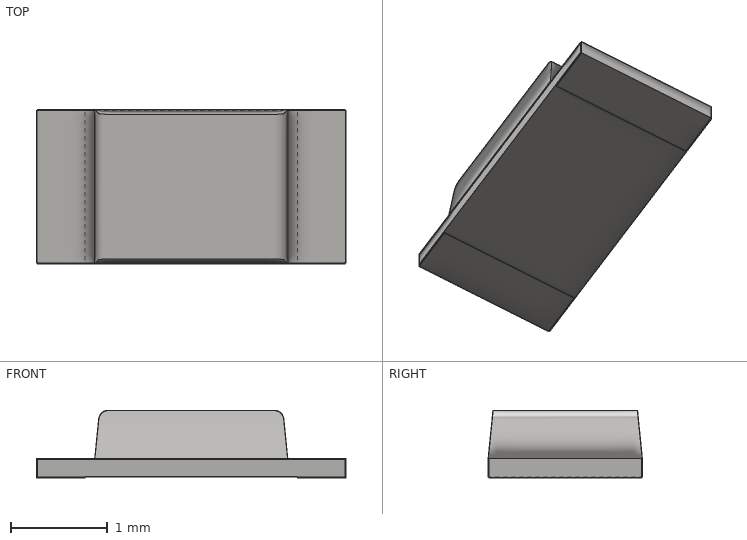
import cadquery as cq

length = 3.2
width = 1.6
height = 0.7

board_top = 0.2
plating = 0.01
bottom_pad_length = 0.5

body_length = 2.0
body_setback = 0.001
body_width = width - 2 * body_setback
side_draft = 0.05
edge_radius = 0.1


def make_core():
    """Bare board, set back by the plating at its ends, top and bottom."""
    return cq.Workplane("XY").workplane(offset=plating).box(
        length - 2 * plating, width, board_top - 2 * plating, centered=(True, True, False)
    )


def make_plating():
    """Metal over the top and both ends, returning under the board as two pads."""
    plated_width = width - 2 * plating
    pad_gap = length - 2 * bottom_pad_length
    shell = cq.Workplane("XY").box(length, plated_width, board_top, centered=(True, True, False))
    gap = cq.Workplane("XY").box(pad_gap, plated_width, plating, centered=(True, True, False))
    return shell.cut(gap)


def make_body():
    """Tapered block whose top edges along Y are rounded."""
    block = (
        cq.Workplane("XY")
        .workplane(offset=board_top)
        .rect(body_length, body_width)
        .workplane(offset=height - board_top)
        .rect(body_length - 2 * side_draft, body_width - 2 * side_draft)
        .loft(ruled=True)
    )
    return block.faces(">Z").edges("|Y").fillet(edge_radius)


result = make_core().union(make_plating()).union(make_body())